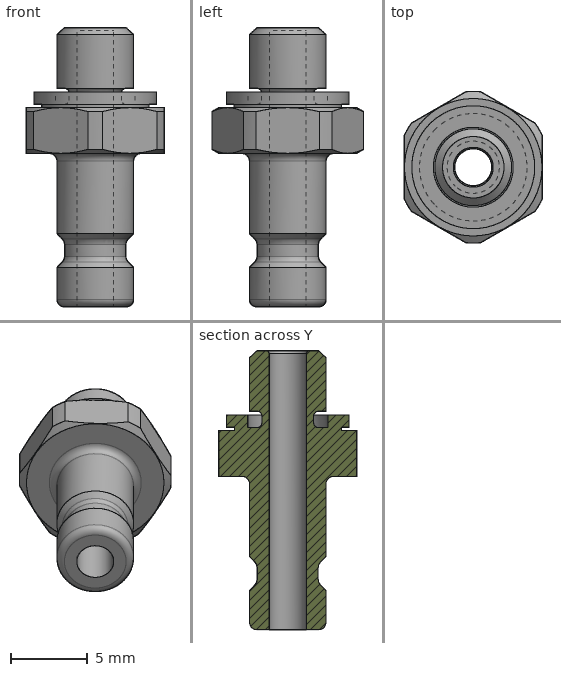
import cadquery as cq
import math

total_height = 18.2
hex_bottom = 10.0
hex_height = 3.0
hex_top = hex_bottom + hex_height
seat_height = 0.2
ring_bottom = hex_top + seat_height
ring_height = 0.82
ring_top = ring_bottom + ring_height
thread_bottom = 14.23

body_diameter = 5.0
hex_across_flats = 9.0
hex_corner_diameter = 9.9
hex_face_diameter = 8.95
seat_diameter = 7.0
ring_diameter = 8.0
ring_hole_diameter = 5.2
neck_diameter = 3.4
neck_flare_diameter = 4.0
bore_diameter = 2.4
groove_diameter = 4.0
thread_tip_diameter = 4.0

thread_chamfer_height = 0.45
neck_fillet = (neck_flare_diameter - neck_diameter) / 2
body_fillet = 0.5
groove_bottom = 2.58
groove_top = 4.77
bore_chamfer_width = 0.1
bore_chamfer_height = 0.2
hex_chamfer_angle = 30.0


def cylinder(diameter, bottom, top):
    return cq.Workplane("XY").workplane(offset=bottom).circle(diameter / 2).extrude(top - bottom)


def revolve_profile(points):
    return cq.Workplane("XZ").polyline(points).close().revolve(360, (0, 0, 0), (0, 1, 0))


def make_plug():
    """Lower shaft with a rounded end and a 45 degree sided locking groove."""
    radius = body_diameter / 2
    groove_radius = groove_diameter / 2
    slope = radius - groove_radius
    profile = (
        cq.Workplane("XZ")
        .polyline([
            (0, 0),
            (radius, 0),
            (radius, groove_bottom),
            (groove_radius, groove_bottom + slope),
            (groove_radius, groove_top - slope),
            (radius, groove_top),
            (radius, hex_bottom),
            (0, hex_bottom),
        ])
        .close()
    )
    plug = profile.revolve(360, (0, 0, 0), (0, 1, 0))
    groove_corners = cq.selectors.RadiusNthSelector(0)
    return plug.edges(groove_corners).fillet(body_fillet).faces("<Z").edges().fillet(body_fillet)


def make_hex():
    """Hexagon with flats facing X, turned corners and conical chamfers on both faces."""
    corner_radius = hex_corner_diameter / 2
    face_radius = hex_face_diameter / 2
    chamfer_drop = (corner_radius - face_radius) * math.tan(math.radians(hex_chamfer_angle))
    prism = (
        cq.Workplane("XY")
        .workplane(offset=hex_bottom)
        .polygon(6, hex_across_flats, circumscribed=True)
        .extrude(hex_height)
    )
    envelope = revolve_profile([
        (0, hex_bottom),
        (face_radius, hex_bottom),
        (corner_radius, hex_bottom + chamfer_drop),
        (corner_radius, hex_top - chamfer_drop),
        (face_radius, hex_top),
        (0, hex_top),
    ])
    return prism.intersect(envelope)


def make_concave_fillet(radius, face_height, fillet_radius):
    """Fillet that flares a shaft outward up to a downward-facing surface."""
    bottom = face_height - fillet_radius
    outer = radius + fillet_radius
    arc_offset = fillet_radius * (1 - math.sqrt(0.5))
    return (
        cq.Workplane("XZ")
        .moveTo(0, bottom)
        .lineTo(radius, bottom)
        .threePointArc((radius + arc_offset, face_height - arc_offset), (outer, face_height))
        .lineTo(0, face_height)
        .close()
        .revolve(360, (0, 0, 0), (0, 1, 0))
    )


def make_ring():
    """Sealing ring with clearance around the neck, resting on a smaller seat."""
    ring = cylinder(ring_diameter, ring_bottom, ring_top)
    clearance = cylinder(ring_hole_diameter, ring_bottom, ring_top)
    return ring.cut(clearance).union(cylinder(seat_diameter, hex_top, ring_bottom))


def make_thread():
    """Plain threaded-end envelope with a chamfered tip, above a relief neck filleted at both ends."""
    radius = body_diameter / 2
    thread = revolve_profile([
        (0, thread_bottom),
        (radius, thread_bottom),
        (radius, total_height - thread_chamfer_height),
        (thread_tip_diameter / 2, total_height),
        (0, total_height),
    ])
    neck = cylinder(neck_diameter, hex_top, thread_bottom)
    neck_flare = make_concave_fillet(neck_diameter / 2, thread_bottom, neck_fillet)
    foot_flare = neck_flare.mirror("XY", (0, 0, (ring_bottom + thread_bottom) / 2))
    return thread.union(neck).union(neck_flare).union(foot_flare)


def make_bore():
    """Through bore with a small chamfer at the threaded end."""
    radius = bore_diameter / 2
    return revolve_profile([
        (0, 0),
        (radius, 0),
        (radius, total_height - bore_chamfer_height),
        (radius + bore_chamfer_width, total_height),
        (0, total_height),
    ])


shoulder_fillet = make_concave_fillet(body_diameter / 2, hex_bottom, body_fillet)
outside = make_plug().union(shoulder_fillet).union(make_hex()).union(make_ring()).union(make_thread())
result = outside.cut(make_bore())